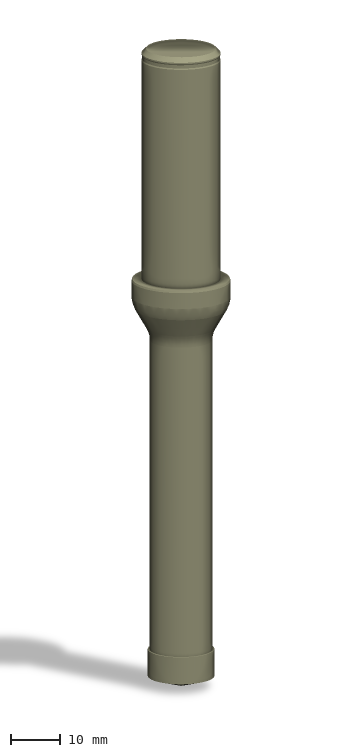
import cadquery as cq
import math

total_length = 133.0

tip_diameter = 13.4
tip_point_height = 2.1
tip_top_z = 7.7

neck_diameter = 12.6
collar_diameter = 20.0
collar_top_z = 85.0
collar_bottom_z = 81.3
collar_chamfer_width = 0.1
collar_chamfer_height = 0.4
flare_angle = math.radians(30)
flare_blend_radius = 5.0

shank_diameter = 16.0
shank_chamfer_width = 0.9
shank_chamfer_height = 0.9

groove_top_z = 131.8
groove_bottom_z = 130.6
groove_depth = 0.1
groove_wall_height = 0.3

flat_depth = 1.6
flat_bottom_z = 89.9
flat_top_z = 128.2

neck_radius = neck_diameter / 2
collar_radius = collar_diameter / 2
shank_radius = shank_diameter / 2


def blend_offset(angle):
    """Radial and axial travel along a flare blend that has turned by angle."""
    radial = flare_blend_radius * (1 - math.cos(angle))
    axial = flare_blend_radius * math.sin(angle)
    return radial, axial


def make_holder_blank():
    """Revolved neck, flared collar and shank."""
    end_radial, end_axial = blend_offset(flare_angle)
    mid_radial, mid_axial = blend_offset(flare_angle / 2)
    cone_radial = collar_radius - neck_radius - 2 * end_radial
    cone_height = cone_radial / math.tan(flare_angle)
    flare_bottom_z = collar_bottom_z - 2 * end_axial - cone_height

    profile = (
        cq.Workplane("XZ")
        .moveTo(0, tip_top_z)
        .lineTo(neck_radius, tip_top_z)
        .lineTo(neck_radius, flare_bottom_z)
        .threePointArc(
            (neck_radius + mid_radial, flare_bottom_z + mid_axial),
            (neck_radius + end_radial, flare_bottom_z + end_axial),
        )
        .lineTo(collar_radius - end_radial, collar_bottom_z - end_axial)
        .threePointArc(
            (collar_radius - mid_radial, collar_bottom_z - mid_axial),
            (collar_radius, collar_bottom_z),
        )
        .lineTo(collar_radius, collar_top_z - collar_chamfer_height)
        .lineTo(collar_radius - collar_chamfer_width, collar_top_z)
        .lineTo(shank_radius, collar_top_z)
        .lineTo(shank_radius, total_length - shank_chamfer_height)
        .lineTo(shank_radius - shank_chamfer_width, total_length)
        .lineTo(0, total_length)
        .close()
    )
    return profile.revolve(360, (0, 0, 0), (0, 1, 0))


def make_groove_cutter():
    """Ring that removes the shallow groove near the shank end."""
    floor_radius = shank_radius - groove_depth
    return (
        cq.Workplane("XZ")
        .moveTo(shank_radius, groove_bottom_z)
        .lineTo(shank_radius, groove_top_z)
        .lineTo(floor_radius, groove_top_z - groove_wall_height)
        .lineTo(floor_radius, groove_bottom_z + groove_wall_height)
        .close()
        .revolve(360, (0, 0, 0), (0, 1, 0))
    )


def make_flat_cutter():
    """Prism along X that removes the clamping flat and its run-outs."""
    flat_y = shank_radius - flat_depth
    return (
        cq.Workplane("YZ")
        .moveTo(flat_y, flat_bottom_z)
        .lineTo(shank_radius, flat_bottom_z - flat_depth)
        .lineTo(shank_radius, flat_top_z + flat_depth)
        .lineTo(flat_y, flat_top_z)
        .close()
        .extrude(shank_radius, both=True)
    )


def make_tip():
    """Cylindrical cutting tip with a conical point, seated on the neck end."""
    tip_radius = tip_diameter / 2
    return (
        cq.Workplane("XZ")
        .lineTo(tip_radius, tip_point_height)
        .lineTo(tip_radius, tip_top_z)
        .lineTo(0, tip_top_z)
        .close()
        .revolve(360, (0, 0, 0), (0, 1, 0))
    )


holder = make_holder_blank().cut(make_groove_cutter()).cut(make_flat_cutter())
tip = make_tip()

result = cq.Compound.makeCompound([holder.val(), tip.val()])